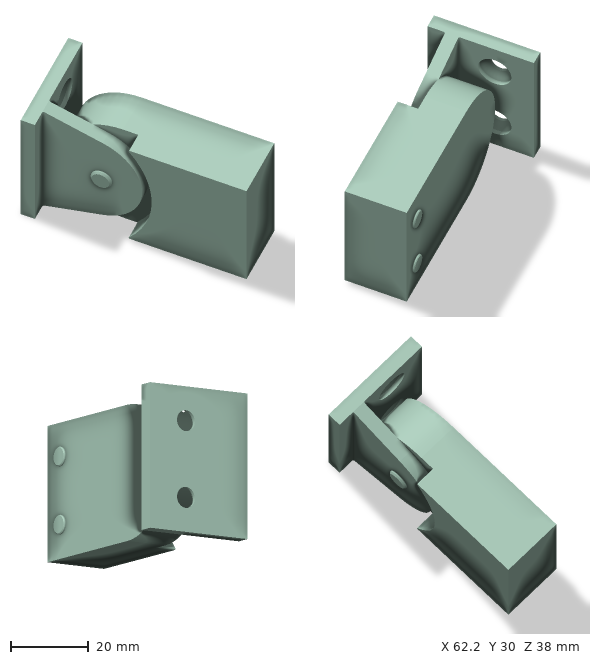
import cadquery as cq
import math

OVERALL_LENGTH = 62.2

PLATE_THICKNESS = 4.0
PLATE_WIDTH = 30.0
PLATE_HEIGHT = 38.0
SCREW_HOLE_DIAMETER = 5.5
SCREW_HEAD_DIAMETER = 9.3
SCREW_HEAD_DEPTH = 1.25
SCREW_HOLE_SPACING = 20.0
SCREW_HOLE_Y = 4.0
TONGUE_FRONT_Y = -10.0
TONGUE_BACK_Y = -6.2
TONGUE_TIP_RADIUS = 15.0
TONGUE_TIP_X = 32.0
TONGUE_ROOT_FILLET = 0.45

BLOCK_FRONT_Y = -12.0
BLOCK_BACK_Y = 5.5
BLOCK_HEIGHT = 35.6
BLOCK_END_X = 7.1
RECESS_RADIUS = 26.55
RECESS_DEEPEST_X = 35.5
RECESS_CORNER_FILLET = 0.3

PIN_X = 20.6
PIN_RADIUS = 3.0
PIN_PROJECTION = 0.9
PIN_CHAMFER = 0.5

BUTTON_X = 56.15
BUTTON_RADIUS = 2.55
BUTTON_HEIGHT = 0.6
BUTTON_SPACING = 17.8
BUTTON_CHAMFER = 0.25


def front_plane(y):
    """Sketch plane facing -Y at the given y: local x is X, local y is Z."""
    return cq.Workplane("XZ", origin=(0, y, 0))


def cylinder_along_y(x, z, radius, front_y, back_y):
    return front_plane(back_y).center(x, z).circle(radius).extrude(back_y - front_y)


def pin_shank():
    """Shank through tongue and block, ending flush with the back of the block."""
    return cylinder_along_y(PIN_X, 0, PIN_RADIUS, TONGUE_FRONT_Y - PIN_PROJECTION, BLOCK_BACK_Y)


def make_hinge_pin():
    return pin_shank().faces("<Y").chamfer(PIN_CHAMFER)


def make_tongue():
    """Tapered sides run from the plate's corners tangent to the round tip."""
    tip_center_x = TONGUE_TIP_X - TONGUE_TIP_RADIUS
    root_z = PLATE_HEIGHT / 2
    root_to_center = tip_center_x - PLATE_THICKNESS
    root_direction = math.atan2(root_z, -root_to_center)
    root_distance = math.hypot(root_to_center, root_z)
    tangent_angle = root_direction - math.acos(TONGUE_TIP_RADIUS / root_distance)
    tangent_x = tip_center_x + TONGUE_TIP_RADIUS * math.cos(tangent_angle)
    tangent_z = TONGUE_TIP_RADIUS * math.sin(tangent_angle)
    return (
        front_plane(TONGUE_BACK_Y)
        .moveTo(PLATE_THICKNESS, -root_z)
        .lineTo(tangent_x, -tangent_z)
        .threePointArc((TONGUE_TIP_X, 0), (tangent_x, tangent_z))
        .lineTo(PLATE_THICKNESS, root_z)
        .close()
        .extrude(TONGUE_BACK_Y - TONGUE_FRONT_Y)
    )


def make_root_fillet(face_y, outward):
    """Concave fillet strip between the plate and one face of the tongue."""
    r = TONGUE_ROOT_FILLET
    arc_offset = r * (1 - math.sqrt(0.5))
    return (
        cq.Workplane("XY", origin=(0, 0, -PLATE_HEIGHT / 2))
        .moveTo(PLATE_THICKNESS, face_y)
        .lineTo(PLATE_THICKNESS + r, face_y)
        .threePointArc(
            (PLATE_THICKNESS + arc_offset, face_y + outward * arc_offset),
            (PLATE_THICKNESS, face_y + outward * r),
        )
        .close()
        .extrude(PLATE_HEIGHT)
    )


def screw_hole(z):
    """Through hole with a 90 degree countersink and a head recess on the inner (+X) face."""
    hole_radius = SCREW_HOLE_DIAMETER / 2
    head_radius = SCREW_HEAD_DIAMETER / 2
    cone_end_x = PLATE_THICKNESS - SCREW_HEAD_DEPTH
    cone_start_x = cone_end_x - (head_radius - hole_radius)
    return (
        cq.Workplane("XY", origin=(0, SCREW_HOLE_Y, z))
        .lineTo(0, hole_radius)
        .lineTo(cone_start_x, hole_radius)
        .lineTo(cone_end_x, head_radius)
        .lineTo(PLATE_THICKNESS, head_radius)
        .lineTo(PLATE_THICKNESS, 0)
        .close()
        .revolve(360, (0, 0), (1, 0))
    )


def make_bracket():
    plate = cq.Workplane("XY").box(
        PLATE_THICKNESS, PLATE_WIDTH, PLATE_HEIGHT, centered=(False, True, True)
    )
    for side in (-1, 1):
        plate = plate.cut(screw_hole(side * SCREW_HOLE_SPACING / 2))
    return (
        plate.union(make_tongue())
        .union(make_root_fillet(TONGUE_FRONT_Y, -1))
        .union(make_root_fillet(TONGUE_BACK_Y, 1))
        .cut(pin_shank())
    )


def make_block():
    half_height = BLOCK_HEIGHT / 2
    round_end_x = BLOCK_END_X + half_height
    body = (
        front_plane(BLOCK_BACK_Y)
        .moveTo(OVERALL_LENGTH, -half_height)
        .lineTo(round_end_x, -half_height)
        .threePointArc((BLOCK_END_X, 0), (round_end_x, half_height))
        .lineTo(OVERALL_LENGTH, half_height)
        .close()
        .extrude(BLOCK_BACK_Y - BLOCK_FRONT_Y)
    )
    recess = cylinder_along_y(
        RECESS_DEEPEST_X - RECESS_RADIUS, 0, RECESS_RADIUS, BLOCK_FRONT_Y, TONGUE_BACK_Y
    )
    body = body.cut(recess)
    wall_end_x = RECESS_DEEPEST_X - RECESS_RADIUS + math.sqrt(RECESS_RADIUS**2 - half_height**2)
    corner_y = (BLOCK_FRONT_Y + TONGUE_BACK_Y) / 2
    for corner_z in (-half_height, half_height):
        corner_edge = cq.selectors.NearestToPointSelector((wall_end_x, corner_y, corner_z))
        body = body.edges(corner_edge).fillet(RECESS_CORNER_FILLET)
    return body.cut(pin_shank())


def make_button(z):
    """Round button standing on the back face of the block."""
    top_y = BLOCK_BACK_Y + BUTTON_HEIGHT
    button = cylinder_along_y(BUTTON_X, z, BUTTON_RADIUS, BLOCK_BACK_Y, top_y)
    return button.faces(">Y").chamfer(BUTTON_CHAMFER)


bracket = make_bracket()
block = make_block()
hinge_pin = make_hinge_pin()
buttons = [make_button(side * BUTTON_SPACING / 2) for side in (-1, 1)]

result = cq.Compound.makeCompound(
    [bracket.val(), block.val(), hinge_pin.val(), *[button.val() for button in buttons]]
)